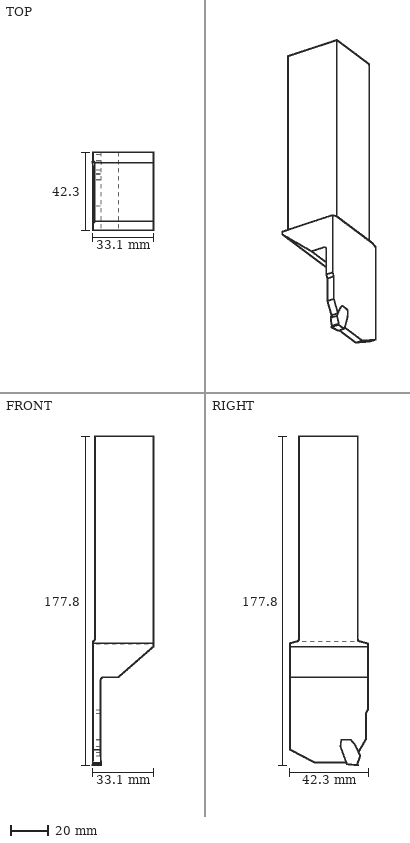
import cadquery as cq
import math

TOTAL_HEIGHT = 177.8
TOTAL_WIDTH = 33.05
HEAD_WIDTH = 42.25
SHANK = 31.75

BLADE_WIDTH = 4.2
NOSE_WIDTH = 4.8
SIDE_CLEARANCE = (NOSE_WIDTH - BLADE_WIDTH) / 2
BLADE_FACE_OFFSET = TOTAL_WIDTH - SHANK - SIDE_CLEARANCE
BLADE_X = -BLADE_FACE_OFFSET
BLADE_CENTRE_X = BLADE_X + BLADE_WIDTH / 2

HEAD_OVERHANG = 5.6
HEAD_Y_MAX = SHANK / 2 + HEAD_OVERHANG
HEAD_Y_MIN = HEAD_Y_MAX - HEAD_WIDTH
SHOULDER_Z = 66.95
SHOULDER_FILLET = 1.5
SHOULDER_SLOPE = math.tan(math.radians(15))
BLADE_BOTTOM_Z = 1.5
RELIEF_STEP = 1.1
RELIEF_TOP_Z = 30.2
RELIEF_BOTTOM_Z = 28.2
FRONT_BEVEL_TOP_Z = 14.2
FRONT_BEVEL_ANGLE = 60
HEEL_BEVEL_WIDTH = 13.4
HEEL_BEVEL_HEIGHT = 7.0

WEB_BOTTOM_Z = 47.6
WEB_LEDGE_X = 12.7
WEB_SIDE_Z = 64.2
WEB_FILLET = 1.6

TIP = (16.2, 0.0)
CHIP_GROOVE = (15.7, 1.0)
RAKE_MIDDLE = (16.6, 3.2)
RAKE_TOP = (17.2, 5.2)
SEAT_FRONT = (16.5, 6.9)
CROWN_FRONT = (14.1, 11.6)
CROWN_TOP_FRONT = (11.9, 13.95)
CROWN_TOP_BACK = (7.0, 13.85)
CROWN_BACK = (6.5, 10.3)
HEEL_TOP = (9.7, 1.5)
HEEL_BOTTOM = (10.0, 0.6)
CREASE_BOTTOM = (12.7, 0.4)


def make_insert():
    """Cutting insert as wide as the blade, flaring to NOSE_WIDTH at its tip."""
    profile = (
        cq.Workplane("YZ", origin=(BLADE_CENTRE_X, 0, 0))
        .moveTo(*TIP)
        .lineTo(*CHIP_GROOVE)
        .threePointArc(RAKE_MIDDLE, RAKE_TOP)
        .lineTo(*SEAT_FRONT)
        .lineTo(*CROWN_FRONT)
        .lineTo(*CROWN_TOP_FRONT)
        .lineTo(*CROWN_TOP_BACK)
        .lineTo(*CROWN_BACK)
        .lineTo(*HEEL_TOP)
        .lineTo(*HEEL_BOTTOM)
        .close()
        .extrude(NOSE_WIDTH / 2, both=True)
    )

    crease_y = CREASE_BOTTOM[0] - RAKE_TOP[0]
    crease_z = CREASE_BOTTOM[1] - RAKE_TOP[1]
    crease_length = math.hypot(crease_y, crease_z)
    to_tip = (0, -crease_z / crease_length, crease_y / crease_length)
    nose_reach = (TIP[0] - RAKE_TOP[0]) * to_tip[1] + (TIP[1] - RAKE_TOP[1]) * to_tip[2]
    body_reach = CROWN_TOP_FRONT[0] + CROWN_TOP_FRONT[1]
    crease_plane = cq.Plane(
        origin=(BLADE_CENTRE_X, *RAKE_TOP),
        xDir=to_tip,
        normal=(0, crease_y, crease_z),
    )
    half_blade = BLADE_WIDTH / 2
    half_nose = NOSE_WIDTH / 2
    width_section = (
        cq.Workplane(crease_plane)
        .polyline([
            (-body_reach, -half_blade),
            (0, -half_blade),
            (nose_reach, -half_nose),
            (nose_reach, half_nose),
            (0, half_blade),
            (-body_reach, half_blade),
        ])
        .close()
        .extrude(body_reach, both=True)
    )
    return profile.intersect(width_section)


def make_head():
    """Blade and web: the side outline intersected with the front outline."""
    land_y = SHANK / 2 + SHOULDER_FILLET
    bevel_run = (FRONT_BEVEL_TOP_Z - BLADE_BOTTOM_Z) / math.tan(math.radians(FRONT_BEVEL_ANGLE))
    front_y = HEAD_Y_MAX - RELIEF_STEP
    side = (
        cq.Workplane("YZ", origin=(BLADE_X, 0, 0))
        .polyline([
            (-land_y, SHOULDER_Z),
            (land_y, SHOULDER_Z),
            (HEAD_Y_MAX, SHOULDER_Z - (HEAD_Y_MAX - land_y) * SHOULDER_SLOPE),
            (HEAD_Y_MAX, RELIEF_TOP_Z),
            (front_y, RELIEF_BOTTOM_Z),
            (front_y, FRONT_BEVEL_TOP_Z),
            (front_y - bevel_run, BLADE_BOTTOM_Z),
            (HEAD_Y_MIN + HEEL_BEVEL_WIDTH, BLADE_BOTTOM_Z),
            (HEAD_Y_MIN, BLADE_BOTTOM_Z + HEEL_BEVEL_HEIGHT),
            (HEAD_Y_MIN, SHOULDER_Z + (HEAD_Y_MIN + land_y) * SHOULDER_SLOPE),
        ])
        .close()
        .extrude(SHANK + BLADE_FACE_OFFSET)
    )
    blade_back_x = BLADE_X + BLADE_WIDTH
    front = (
        cq.Workplane("XZ", origin=(0, HEAD_Y_MAX, 0))
        .moveTo(BLADE_X, 0)
        .lineTo(BLADE_X, SHOULDER_Z)
        .lineTo(SHANK, SHOULDER_Z)
        .lineTo(SHANK, WEB_SIDE_Z)
        .lineTo(WEB_LEDGE_X, WEB_BOTTOM_Z)
        .lineTo(blade_back_x + WEB_FILLET, WEB_BOTTOM_Z)
        .radiusArc((blade_back_x, WEB_BOTTOM_Z - WEB_FILLET), -WEB_FILLET)
        .lineTo(blade_back_x, 0)
        .close()
        .extrude(HEAD_WIDTH)
    )
    return side.intersect(front)


def make_shank_with_blend():
    """Square shank whose foot flares out in a concave blend on -X, +Y and -Y."""
    shank = (
        cq.Workplane("XY", origin=(0, 0, SHOULDER_Z))
        .moveTo(0, -SHANK / 2)
        .rect(SHANK, SHANK, centered=False)
        .extrude(TOTAL_HEIGHT - SHOULDER_Z)
    )
    foot = (
        cq.Workplane("XY", origin=(-SHOULDER_FILLET, 0, SHOULDER_Z))
        .moveTo(0, -SHANK / 2 - SHOULDER_FILLET)
        .rect(SHANK + SHOULDER_FILLET, SHANK + 2 * SHOULDER_FILLET, centered=False)
        .extrude(SHOULDER_FILLET)
    )
    blend_z = SHOULDER_Z + SHOULDER_FILLET
    side_grooves = (
        cq.Workplane("YZ", origin=(-SHOULDER_FILLET, 0, 0))
        .pushPoints([(-SHANK / 2 - SHOULDER_FILLET, blend_z), (SHANK / 2 + SHOULDER_FILLET, blend_z)])
        .circle(SHOULDER_FILLET)
        .extrude(SHANK + SHOULDER_FILLET)
    )
    face_groove = (
        cq.Workplane("XZ", origin=(0, SHANK / 2 + SHOULDER_FILLET, 0))
        .moveTo(-SHOULDER_FILLET, blend_z)
        .circle(SHOULDER_FILLET)
        .extrude(SHANK + 2 * SHOULDER_FILLET)
    )
    trim = (
        cq.Workplane("XY", origin=(BLADE_X, 0, SHOULDER_Z))
        .moveTo(0, HEAD_Y_MIN)
        .rect(SHANK + BLADE_FACE_OFFSET, HEAD_WIDTH, centered=False)
        .extrude(SHOULDER_FILLET)
    )
    blend = foot.cut(side_grooves).cut(face_groove).intersect(trim)
    return shank.union(blend)


def make_holder(insert):
    """Shank and head as one solid, with a seat that fits the insert."""
    return make_head().union(make_shank_with_blend()).cut(insert)


insert = make_insert()
holder = make_holder(insert)

result = cq.Compound.makeCompound([holder.val(), insert.val()])